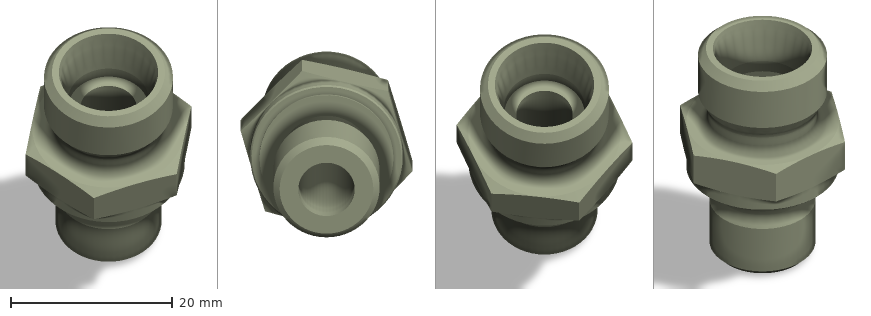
import cadquery as cq
import math

TOTAL_HEIGHT = 30.0
UPPER_THREAD_BOTTOM = 23.55
HEX_TOP = 19.0
HEX_BOTTOM = 14.0
COLLAR_BOTTOM = 12.0
LOWER_THREAD_TOP = 7.25

UPPER_THREAD_DIAMETER = 16.0
UPPER_CHAMFER = 1.0
UPPER_NECK_DIAMETER = 13.7
LOWER_THREAD_DIAMETER = 13.17
LOWER_TIP_DIAMETER = 11.6
LOWER_CHAMFER_LENGTH = 0.85
LOWER_NECK_DIAMETER = 11.2
COLLAR_DIAMETER = 18.9
COLLAR_CHAMFER = 0.18
RUNOUT_ANGLE = 30.0
FILLET_RADIUS = 1.0

HEX_ACROSS_FLATS = 19.0
HEX_ACROSS_CORNERS = HEX_ACROSS_FLATS / math.cos(math.radians(30))
HEX_CHAMFER_DIAMETER = 18.9
HEX_CHAMFER_ANGLE = 15.0

BORE_DIAMETER = 7.0
SOCKET_DIAMETER = 10.0
SOCKET_DEPTH = 7.0
CONE_MOUTH_DIAMETER = 12.3
CONE_HALF_ANGLE = 12.0

RING_OUTER_DIAMETER = 16.6
RING_INNER_DIAMETER = LOWER_NECK_DIAMETER
RECESS_DEPTH = 1.5
RING_PROJECTION = 0.3


def cone_length(large_diameter, small_diameter, angle):
    """Axial length of a cone whose side is at the given angle to the axis."""
    return (large_diameter - small_diameter) / 2 / math.tan(math.radians(angle))


def cylinder(diameter, bottom, top):
    return cq.Workplane("XY").workplane(offset=bottom).circle(diameter / 2).extrude(top - bottom)


def revolve_outline(points):
    """Revolve an outline of (radius, height) points around the Z axis."""
    return cq.Workplane("XZ").polyline(points).close().revolve(360, (0, 0), (0, 1))


def circle_at(radius, height):
    """Selector for the circular edge of the given radius around Z at a height."""
    reach = 0.03
    return cq.selectors.BoxSelector(
        (-radius - reach, -radius - reach, height - reach),
        (radius + reach, radius + reach, height + reach),
        boundingbox=True,
    )


def make_hexagon():
    """Hexagon with corners on the Y axis, turned down at both ends."""
    hexagon = (
        cq.Workplane("XY")
        .workplane(offset=HEX_BOTTOM)
        .polygon(6, HEX_ACROSS_CORNERS)
        .extrude(HEX_TOP - HEX_BOTTOM)
        .rotate((0, 0, 0), (0, 0, 1), 30)
    )
    flat_radius = HEX_CHAMFER_DIAMETER / 2
    outer_radius = HEX_ACROSS_CORNERS / 2 + 0.3
    drop = (outer_radius - flat_radius) * math.tan(math.radians(HEX_CHAMFER_ANGLE))
    turned_blank = revolve_outline([
        (0, HEX_BOTTOM),
        (flat_radius, HEX_BOTTOM),
        (outer_radius, HEX_BOTTOM + drop),
        (outer_radius, HEX_TOP - drop),
        (flat_radius, HEX_TOP),
        (0, HEX_TOP),
    ])
    return hexagon.intersect(turned_blank)


def make_lower_stem():
    thread_radius = LOWER_THREAD_DIAMETER / 2
    neck_radius = LOWER_NECK_DIAMETER / 2
    neck_bottom = LOWER_THREAD_TOP + cone_length(LOWER_THREAD_DIAMETER, LOWER_NECK_DIAMETER, RUNOUT_ANGLE)
    stem = revolve_outline([
        (0, 0),
        (LOWER_TIP_DIAMETER / 2, 0),
        (thread_radius, LOWER_CHAMFER_LENGTH),
        (thread_radius, LOWER_THREAD_TOP),
        (neck_radius, neck_bottom),
        (neck_radius, HEX_BOTTOM),
        (0, HEX_BOTTOM),
    ])
    return stem.edges(circle_at(neck_radius, neck_bottom)).fillet(FILLET_RADIUS)


def make_upper_stem():
    thread_radius = UPPER_THREAD_DIAMETER / 2
    neck_radius = UPPER_NECK_DIAMETER / 2
    neck_top = UPPER_THREAD_BOTTOM - cone_length(UPPER_THREAD_DIAMETER, UPPER_NECK_DIAMETER, RUNOUT_ANGLE)
    stem = revolve_outline([
        (0, HEX_TOP),
        (neck_radius, HEX_TOP),
        (neck_radius, neck_top),
        (thread_radius, UPPER_THREAD_BOTTOM),
        (thread_radius, TOTAL_HEIGHT - UPPER_CHAMFER),
        (thread_radius - UPPER_CHAMFER, TOTAL_HEIGHT),
        (0, TOTAL_HEIGHT),
    ])
    return stem.edges(circle_at(neck_radius, neck_top)).fillet(FILLET_RADIUS)


def make_collar():
    """Round collar under the hexagon, recessed around the lower neck."""
    collar = cylinder(COLLAR_DIAMETER, COLLAR_BOTTOM, HEX_BOTTOM).faces("<Z").edges().chamfer(COLLAR_CHAMFER)
    return collar.cut(cylinder(RING_OUTER_DIAMETER, COLLAR_BOTTOM, COLLAR_BOTTOM + RECESS_DEPTH))


def make_inside():
    """Through bore, tube socket and the cone that opens at the top."""
    cone_bottom = TOTAL_HEIGHT - cone_length(CONE_MOUTH_DIAMETER, SOCKET_DIAMETER, CONE_HALF_ANGLE)
    socket_floor = TOTAL_HEIGHT - SOCKET_DEPTH
    return revolve_outline([
        (0, 0),
        (BORE_DIAMETER / 2, 0),
        (BORE_DIAMETER / 2, socket_floor),
        (SOCKET_DIAMETER / 2, socket_floor),
        (SOCKET_DIAMETER / 2, cone_bottom),
        (CONE_MOUTH_DIAMETER / 2, TOTAL_HEIGHT),
        (0, TOTAL_HEIGHT),
    ])


def make_fitting():
    body = make_hexagon().union(make_collar()).union(make_lower_stem()).union(make_upper_stem())
    body = body.edges(circle_at(UPPER_NECK_DIAMETER / 2, HEX_TOP)).fillet(FILLET_RADIUS)
    return body.cut(make_inside()).solids()


def make_sealing_ring():
    bottom = COLLAR_BOTTOM - RING_PROJECTION
    top = COLLAR_BOTTOM + RECESS_DEPTH
    return cylinder(RING_OUTER_DIAMETER, bottom, top).cut(cylinder(RING_INNER_DIAMETER, bottom, top))


fitting = make_fitting()
sealing_ring = make_sealing_ring()

result = cq.Compound.makeCompound([fitting.val(), sealing_ring.val()])